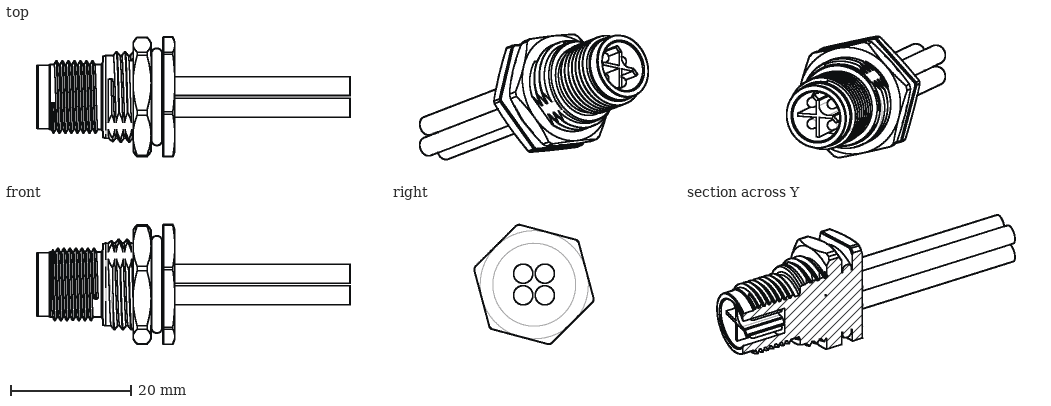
import cadquery as cq
import math


overall_length = 52.11
nose_end = 2.05
collar_start = 11.0
collar_flat_start = 11.5
nut_start = 16.0
nut_thickness = 3.0
flange_start = 20.9
flange_thickness = 2.05
flange_end = flange_start + flange_thickness

nose_radius = 5.3
nose_chamfer_length = 0.2
nose_chamfer_depth = 0.07
barrel_radius = 5.43
barrel_lead_length = 0.15
shoulder_length = 0.25
shoulder_radius = 5.85
collar_radius = 6.9
collar_chamfer_depth = 0.15
collar_chamfer_length = 0.45
collar_flat_distance = 6.84

thread_crest_width = 0.1
thread_root_overlap = 0.05
coupling_crest_radius = 6.0
coupling_pitch = 1.0
coupling_start_angle = 100.0
coupling_start_x = 2.53
coupling_turns = 7.29
coupling_half_angle = 30.0
coupling_lead_start = 2.45
coupling_lead_length = 0.3
mounting_crest_radius = 7.5
mounting_pitch = 1.41
mounting_start_angle = 65.0
mounting_start_x = 12.1
mounting_turns = 2.9
mounting_half_angle = 40.0
mounting_lead_start = 11.9
mounting_lead_length = 0.8

hex_across_flats = 18.0
flat_direction = 135.0
nut_corner_radius = 10.17
flange_corner_radius = 10.27
hex_face_radius = hex_across_flats / 2
nut_chamfer_angle = 30.0
flange_chamfer_angle = 15.0
flange_edge_chamfer = 0.2
nut_mouth_radius = 7.4
nut_mouth_depth = nut_mouth_radius - collar_flat_distance

ring_center_radius = 7.2
ring_section_radius = 0.9
ring_x = (nut_start + nut_thickness + flange_start) / 2

socket_radius = 4.2
socket_depth = 8.0
socket_chamfer = 0.2
contact_offset = 1.8
pin_radius = 0.82
pin_tip_x = 2.1
cross_front_x = 0.8
cross_thickness = 0.5
cross_arm_length = 3.55
cross_bend_start = 2.65
cross_bend_length = 1.1
cross_bend_angle = 45.0

wire_radius = 1.6


def contact_positions():
    """Y, Z of the four contacts and of their wires."""
    return [(y, z) for y in (-contact_offset, contact_offset) for z in (-contact_offset, contact_offset)]


def x_cylinder(radius, start, end, y=0.0, z=0.0):
    return cq.Workplane("YZ", origin=(start, y, z)).circle(radius).extrude(end - start)


def revolve_about_x(outline):
    """Solid of revolution of an (X, radius) outline closed along the axis."""
    return cq.Workplane("XY").polyline(outline).close().revolve(360, (0, 0, 0), (1, 0, 0))


def turned_body():
    return revolve_about_x([
        (0, 0),
        (0, nose_radius - nose_chamfer_depth),
        (nose_chamfer_length, nose_radius),
        (nose_end, nose_radius),
        (nose_end + barrel_lead_length, barrel_radius),
        (collar_start - shoulder_length, barrel_radius),
        (collar_start, shoulder_radius),
        (collar_start, collar_radius - collar_chamfer_depth),
        (collar_start + collar_chamfer_length, collar_radius),
        (flange_end, collar_radius),
        (flange_end, 0),
    ])


def thread_ridge(root_radius, crest_radius, half_angle, pitch, turns, start_x, start_angle):
    """Helical ridge of trapezoidal section, right-handed about +X."""
    inner_radius = root_radius - thread_root_overlap
    half_crest = thread_crest_width / 2
    half_root = half_crest + (crest_radius - inner_radius) * math.tan(math.radians(half_angle))
    path = cq.Wire.makeHelix(pitch, pitch * turns, inner_radius)
    section = cq.Workplane("XZ").polyline([
        (inner_radius, -half_root),
        (crest_radius, -half_crest),
        (crest_radius, half_crest),
        (inner_radius, half_root),
    ]).close()
    ridge = section.sweep(cq.Workplane(obj=path), isFrenet=True)
    ridge = ridge.rotate((0, 0, 0), (1, 1, 1), 120)
    return ridge.rotate((0, 0, 0), (1, 0, 0), start_angle).translate((start_x, 0, 0))


def beyond_flat(start, end, direction):
    """Block that lies outside the collar flat whose normal points in the given direction."""
    depth = mounting_crest_radius
    return (
        cq.Workplane("XY")
        .box(end - start, depth, 2 * mounting_crest_radius, centered=(False, False, True))
        .translate((start, collar_flat_distance, 0))
        .rotate((0, 0, 0), (1, 0, 0), direction)
    )


def cut_collar_flats(body):
    """Two opposite flats across the collar thread, facing (-Y, +Z) and (+Y, -Z)."""
    for direction in (flat_direction, flat_direction + 180):
        body = body.cut(beyond_flat(collar_flat_start, nut_start, direction))
    return body


def hex_plate(start, thickness, corner_radius, front_chamfer, rear_chamfer):
    """Hexagon with rounded corners and a conical chamfer of the given axial length on each face."""
    end = start + thickness
    prism = (
        cq.Workplane("YZ", origin=(start, 0, 0))
        .transformed(rotate=(0, 0, flat_direction))
        .polygon(6, hex_across_flats, circumscribed=True)
        .extrude(thickness)
    )
    outline = [
        (start + front_chamfer, corner_radius),
        (end - rear_chamfer, corner_radius),
        (end, hex_face_radius),
        (end, 0),
        (start, 0),
    ]
    if front_chamfer > 0:
        outline.append((start, hex_face_radius))
    return prism.intersect(revolve_about_x(outline))


def cone_length(corner_radius, angle):
    """Axial length of a chamfer cone between the face circle and the corner radius."""
    return (corner_radius - hex_face_radius) * math.tan(math.radians(angle))


def lock_nut():
    chamfer = cone_length(nut_corner_radius, nut_chamfer_angle)
    return hex_plate(nut_start, nut_thickness, nut_corner_radius, chamfer, chamfer)


def nut_mouth_gap():
    """Opening between the flared mouth of the nut and the collar flat facing (-Y, +Z)."""
    mouth_end = nut_start + nut_mouth_depth
    mouth = revolve_about_x([
        (nut_start, 0),
        (nut_start, nut_mouth_radius),
        (mouth_end, collar_flat_distance),
        (mouth_end, 0),
    ])
    return mouth.intersect(beyond_flat(nut_start, mouth_end, flat_direction))


def flange():
    """Hexagon with an even chamfer around the front face and a conical one behind."""
    rear_chamfer = cone_length(flange_corner_radius, flange_chamfer_angle)
    plate = hex_plate(flange_start, flange_thickness, flange_corner_radius, 0, rear_chamfer)
    return plate.faces("<X").chamfer(flange_edge_chamfer)


def sealing_ring():
    return (
        cq.Workplane("XY")
        .center(ring_x, ring_center_radius)
        .circle(ring_section_radius)
        .revolve(360, (-ring_x, -ring_center_radius, 0), (1 - ring_x, -ring_center_radius, 0))
    )


def socket_cavity():
    return revolve_about_x([
        (0, 0),
        (0, socket_radius + socket_chamfer),
        (socket_chamfer, socket_radius),
        (socket_depth, socket_radius),
        (socket_depth, 0),
    ])


def shield_cross():
    """Cross wall: straight arms to +Y and -Z, bent arms to -Y and +Z, and a web around one pin."""
    plane = cq.Workplane("YZ", origin=(cross_front_x, 0, 0))
    depth = socket_depth - cross_front_x
    arm_span = cross_arm_length + cross_bend_start
    arm_center = (cross_arm_length - cross_bend_start) / 2
    cross = plane.center(arm_center, 0).rect(arm_span, cross_thickness).extrude(depth)
    cross = cross.union(plane.center(0, -arm_center).rect(cross_thickness, arm_span).extrude(depth))

    bends = (
        (0, cross_bend_start, 90 - cross_bend_angle),
        (-cross_bend_start, 0, 180 + cross_bend_angle),
    )
    for y, z, angle in bends:
        tip = (
            plane.rect(cross_bend_length, cross_thickness)
            .extrude(depth)
            .translate((0, cross_bend_length / 2, 0))
        )
        cross = cross.union(tip.rotate((0, 0, 0), (1, 0, 0), angle).translate((0, y, z)))

    corner = contact_offset / 2
    web = plane.center(-corner, corner).rect(contact_offset, contact_offset).extrude(depth)
    clearance = x_cylinder(
        contact_offset - cross_thickness / 2, cross_front_x, socket_depth, -contact_offset, contact_offset
    )
    return cross.union(web.cut(clearance))


def contact_pin(y, z):
    """Pin rising from the socket floor, with a hemispherical tip."""
    dome_x = pin_tip_x + pin_radius
    dome = cq.Workplane("XY").sphere(pin_radius).translate((dome_x, y, z))
    return x_cylinder(pin_radius, dome_x, socket_depth, y, z).union(dome)


def lead_in(ridge, root_radius, crest_radius, start, length):
    """Ridge trimmed by a cone that rises from the root to the crest at its first turn."""
    rise = crest_radius - root_radius
    clear_radius = crest_radius + rise
    envelope = revolve_about_x([
        (start, 0),
        (start, root_radius),
        (start + 2 * length, clear_radius),
        (flange_start, clear_radius),
        (flange_start, 0),
    ])
    return ridge.intersect(envelope)


def coupling_thread():
    ridge = thread_ridge(
        barrel_radius, coupling_crest_radius, coupling_half_angle, coupling_pitch,
        coupling_turns, coupling_start_x, coupling_start_angle,
    )
    return lead_in(
        ridge, barrel_radius, coupling_crest_radius, coupling_lead_start, coupling_lead_length
    )


def mounting_thread():
    ridge = thread_ridge(
        collar_radius, mounting_crest_radius, mounting_half_angle, mounting_pitch,
        mounting_turns, mounting_start_x, mounting_start_angle,
    )
    return lead_in(
        ridge, collar_radius, mounting_crest_radius, mounting_lead_start, mounting_lead_length
    )


def connector():
    body = turned_body().union(coupling_thread()).union(mounting_thread())
    body = cut_collar_flats(body)
    body = body.union(lock_nut()).cut(nut_mouth_gap())
    body = body.union(sealing_ring())
    body = body.union(flange())
    body = body.cut(socket_cavity())
    body = body.union(shield_cross())
    for y, z in contact_positions():
        body = body.union(contact_pin(y, z))
        body = body.union(x_cylinder(wire_radius, flange_end, overall_length, y, z))
    return body


result = connector().solids()